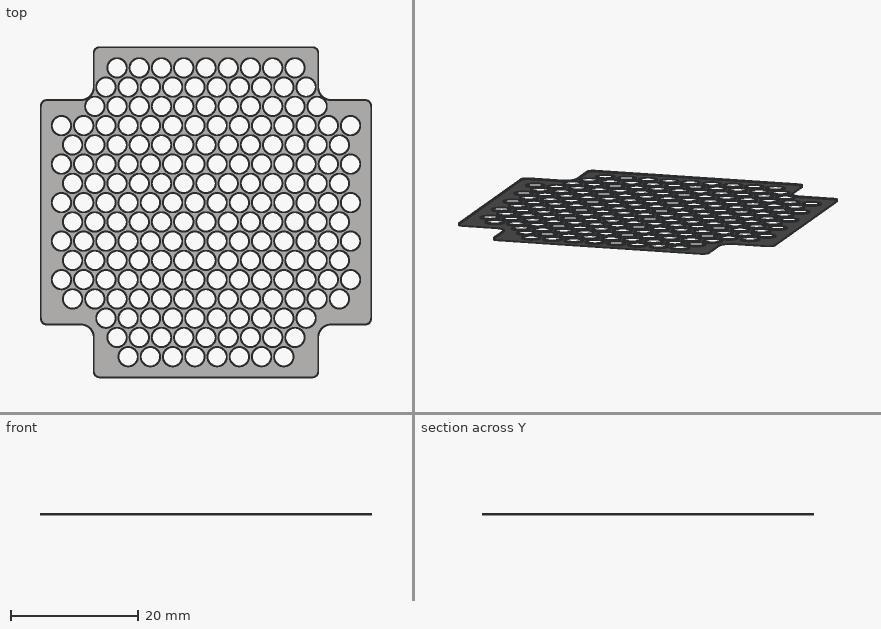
import cadquery as cq
import math

overall_size = 52.0
arm_width = 35.35
thickness = 0.2
outer_corner_radius = 1.0
inner_corner_radius = 2.0

hole_diameter = 3.0
row_span = 45.45
holes_per_row = [9, 10, 11, 14, 13, 14, 13, 14, 13, 14, 13, 14, 13, 10, 9, 8]
row_spacing = row_span / (len(holes_per_row) - 1)
hole_spacing = row_spacing / math.sin(math.radians(60))


def cross_plate():
    """Cross-shaped sheet with rounded arm ends and filleted notches."""
    arm_along_x = cq.Workplane("XY").box(overall_size, arm_width, thickness)
    arm_along_y = cq.Workplane("XY").box(arm_width, overall_size, thickness)
    arm_along_x = arm_along_x.edges("|Z").fillet(outer_corner_radius)
    arm_along_y = arm_along_y.edges("|Z").fillet(outer_corner_radius)
    cross = arm_along_x.union(arm_along_y)

    notch_reach = arm_width / 2 + outer_corner_radius / 2
    notch_box = cq.selectors.BoxSelector(
        (-notch_reach, -notch_reach, -thickness),
        (notch_reach, notch_reach, thickness),
    )
    return cross.edges("|Z").edges(notch_box).fillet(inner_corner_radius)


def hole_centers():
    """Hole positions, with every row centred on the Y axis."""
    centers = []
    for row, count in enumerate(holes_per_row):
        y = row_span / 2 - row * row_spacing
        first_x = -(count - 1) * hole_spacing / 2
        for column in range(count):
            centers.append((first_x + column * hole_spacing, y))
    return centers


result = (
    cross_plate()
    .faces(">Z")
    .workplane(origin=(0, 0, 0))
    .pushPoints(hole_centers())
    .hole(hole_diameter)
)